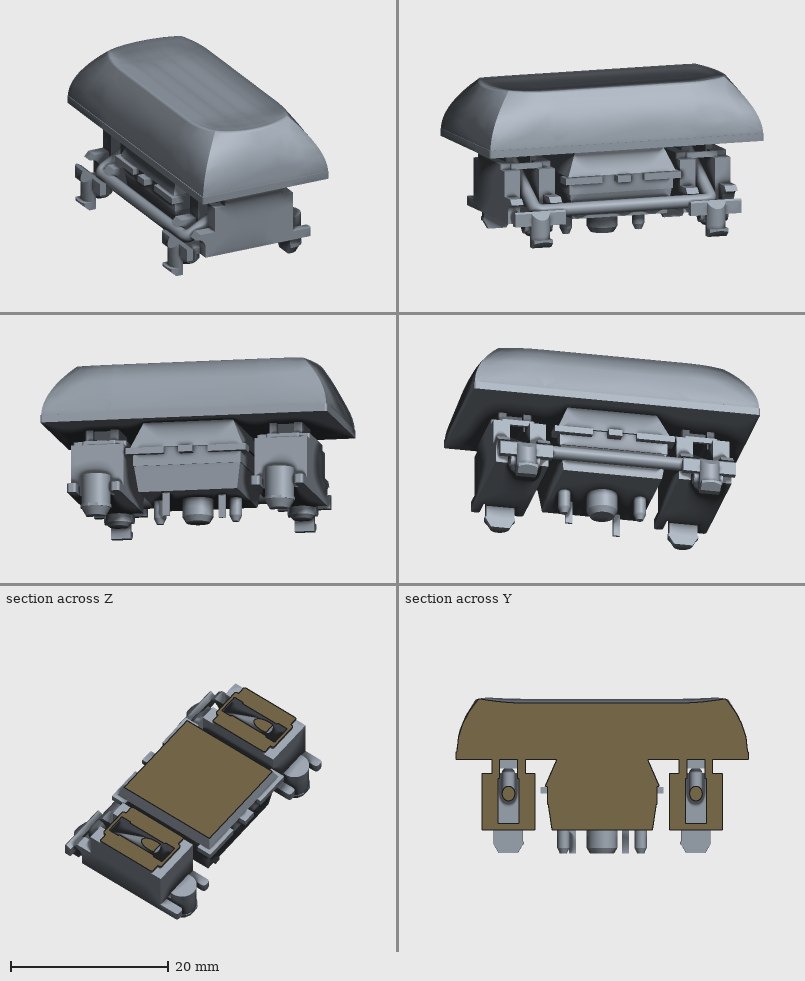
import cadquery as cq
import math

CAP_LENGTH = 37.2
CAP_WIDTH = 18.15
CAP_BOTTOM = 11.98
SKIRT_TOP = 12.95
SKIRT_CORNER_RADIUS = 0.3
CROWN_STEP = 0.1
CROWN_TOP = 19.85
CROWN_SECTIONS = 5
CROWN_OVERRUN = 0.37
CROWN_BULGE = 0.02
END_INSET = 2.68
SIDE_INSET = 2.7
WALL_CURVE = 2.0
CORNER_CURVE = 1.8
CORNER_INSET_X = 3.9
CORNER_INSET_Y = 3.8
STRAIGHT_HALF = 9.45
DISH_BOTTOM = 19.1
DISH_RADIUS = 32.75
DISH_END_RADIUS = 34.22
DISH_END_ANGLE = 15.0
DISH_HALF_WIDTH = 11.15
DISH_HEADROOM = 1.85
RIM_FILLET = 0.45
RIM_LOWEST = 19.45

BODY_BOTTOM = 2.98
BODY_SEAM = 6.25
BODY_TOP = 8.55
BODY_HALF = 7.0
LOWER_BODY_HALF_TOP = 6.9
LOWER_BODY_HALF_BOTTOM = 6.4
TOWER_HALF_BOTTOM = 7.3
TOWER_HALF_TOP = 5.8
TOWER_HALF_TOP_Y = 6.05
TAB_BOTTOM = 7.65
TAB_TOP = 8.5
TAB_REACH = 7.8
TAB_INNER_X = 2.85
TAB_INNER_Y = 5.75
CENTRE_TAB_WIDTH = 1.8
CENTRE_TAB_REACH = 8.2
GUIDE_RADIUS = 1.97
GUIDE_CHAMFER = 0.45
GUIDE_CHAMFER_HEIGHT = 0.75
SIDE_GUIDE_RADIUS = 0.78
SIDE_GUIDE_CHAMFER = 0.35
SIDE_GUIDE_X = 4.9
PIN_WIDTH = 0.9
PIN_THICKNESS = 0.35
PIN_PLACES = [(-3.72, 2.75), (3.0, 5.2)]

STAB_X = 11.9
STAB_HALF_WIDTH = 3.42
HOUSING_HALF_DEPTH = 5.58
HOUSING_BOTTOM = 2.98
HOUSING_TOP = 9.52
TIER_TOP = 10.23
TIER_HALF_DEPTH = 4.15
TIER_CORNER_RADIUS = 0.25
CROSSBAR_HALF_WIDTH = 2.15
CROSSBAR_HALF_DEPTH = 4.6
SLOT_HALF_WIDTH = 1.3
SLOT_BACK = 4.1
SLOT_FLOOR = 3.87
SLIDER_HALF_DEPTH = 2.8
SLIDER_GAP = 2.25
SLIDER_LEG_CHAMFER = 0.15
SLIDER_BEAM_HALF_DEPTH = 1.85
SLIDER_BEAM_BOTTOM = 10.83
REAR_FOOT_END = 8.25
REAR_FOOT_TOP = 4.13
REAR_POST_RADIUS = 1.85
REAR_POST_FLAT = 6.03
REAR_POST_TOP = 5.32
REAR_POST_BOTTOM = 0.1
REAR_POST_CHAMFER = 0.6
REAR_POST_CHAMFER_HEIGHT = 1.05
REAR_LIP_RADIUS = 1.97
REAR_LIP_BOTTOM = 1.15
REAR_LIP_HEIGHT = 0.37
REAR_TAB_WIDTH = 1.2
REAR_TAB_ROUND = 0.37

WIRE_DIAMETER = 1.67
WIRE_Y = -7.9
WIRE_Z = 4.58
WIRE_BEND_RADIUS = 1.0
WIRE_END_Y = 2.25
WIRE_END_Z = 10.23
CLIP_WIDTH = 1.6
CLIP_TOP = 6.25
CLIP_FRONT = -6.95
CLIP_TOP_FRONT = -7.65
CLIP_TIP_Y = -8.3
CLIP_TIP_Z = 5.58
CLIP_HOLLOW_MIDDLE = (-7.35, 5.32)

PLATE_BACK = -8.75
PLATE_FRONT = -9.65
PLATE_BACK_TOP = 4.45
PLATE_FRONT_TOP = 4.6
PLATE_RIDGE_Y = -9.4
PLATE_RIDGE_TOP = 4.85
WEB_HALF_WIDTH = 1.85
KEEL_BACK = -7.45
KEEL_WIDTH = 1.55
KEEL_BOTTOM = 1.9
PEG_RADIUS = 1.67
PEG_Y = -7.92
PEG_BOTTOM = 1.53
PEG_CHAMFER = 0.45
HOOK_HALF_WIDTH = 1.25
HOOK_POST_RADIUS = 1.4
HOOK_POST_FRONT = -10.4
HOOK_POST_FRONT_TOP = 3.8
HOOK_LIP_TOP = 1.3
HOOK_LIP_RADIUS = 3.27
HOOK_TIP = -10.95
HOOK_BACK = -9.05
HOOK_BOTTOM = 0.22
HOOK_BOTTOM_FRONT = -10.0
HOOK_TIP_BOTTOM = 1.05


def box(x0, x1, y0, y1, z0, z1):
    """Axis-aligned block between opposite corners."""
    size = (x1 - x0, y1 - y0, z1 - z0)
    return cq.Workplane("XY").box(*size, centered=False).translate((x0, y0, z0))


def cylinder(x, y, radius, z0, z1):
    return cq.Workplane("XY", origin=(x, y, z0)).circle(radius).extrude(z1 - z0)


def frustum(half_x0, half_y0, z0, half_x1, half_y1, z1):
    """Four-sided tapered block centred on the Z axis."""
    return (
        cq.Workplane("XY", origin=(0, 0, z0))
        .rect(2 * half_x0, 2 * half_y0)
        .workplane(offset=z1 - z0)
        .rect(2 * half_x1, 2 * half_y1)
        .loft(ruled=True)
    )


def side_profile(outline, x_center, half_width):
    """Extrude a closed (y, z) outline symmetrically along X."""
    return outline.close().extrude(half_width, both=True).translate((x_center, 0, 0))


def crown_section(z):
    """Outline of the crown at height z; the walls lean in along power curves."""
    rise = (z - SKIRT_TOP) / (CROWN_TOP - SKIRT_TOP)
    lean = rise**WALL_CURVE
    corner_lean = rise**CORNER_CURVE
    half_length = CAP_LENGTH / 2 - CROWN_STEP
    half_width = CAP_WIDTH / 2 - CROWN_STEP
    end = half_length + CROWN_BULGE - END_INSET * lean
    side = half_width + CROWN_BULGE - SIDE_INSET * lean
    corner_x = half_length - CORNER_INSET_X * corner_lean
    corner_y = half_width - CORNER_INSET_Y * corner_lean
    mid_x = (corner_x + STRAIGHT_HALF) / 2
    mid_y = side - (side - corner_y) / 4
    return (
        cq.Workplane("XY", origin=(0, 0, z))
        .moveTo(-STRAIGHT_HALF, -side)
        .lineTo(STRAIGHT_HALF, -side)
        .threePointArc((mid_x, -mid_y), (corner_x, -corner_y))
        .threePointArc((end, 0), (corner_x, corner_y))
        .threePointArc((mid_x, mid_y), (STRAIGHT_HALF, side))
        .lineTo(-STRAIGHT_HALF, side)
        .threePointArc((-mid_x, mid_y), (-corner_x, corner_y))
        .threePointArc((-end, 0), (-corner_x, -corner_y))
        .threePointArc((-mid_x, -mid_y), (-STRAIGHT_HALF, -side))
        .close()
        .val()
    )


def dish_profile(x):
    edge_z = DISH_BOTTOM + DISH_RADIUS - (DISH_RADIUS**2 - DISH_HALF_WIDTH**2) ** 0.5
    return (
        cq.Workplane("YZ", origin=(x, 0, 0))
        .moveTo(-DISH_HALF_WIDTH, edge_z)
        .threePointArc((0, DISH_BOTTOM), (DISH_HALF_WIDTH, edge_z))
        .lineTo(DISH_HALF_WIDTH, edge_z + DISH_HEADROOM)
        .lineTo(-DISH_HALF_WIDTH, edge_z + DISH_HEADROOM)
        .close()
    )


def dish():
    """Hollow of the cap top: straight in the middle, sweeping up at both ends."""
    axis_z = DISH_BOTTOM + DISH_END_RADIUS
    middle = dish_profile(-STRAIGHT_HALF).extrude(2 * STRAIGHT_HALF)
    end = dish_profile(STRAIGHT_HALF).revolve(DISH_END_ANGLE, (0, axis_z, 0), (-1, axis_z, 0))
    return middle.union(end).union(end.mirror("YZ"))


def keycap():
    step = (CROWN_TOP + CROWN_OVERRUN - SKIRT_TOP) / (CROWN_SECTIONS - 1)
    sections = [crown_section(SKIRT_TOP + i * step) for i in range(CROWN_SECTIONS)]
    crown = cq.Workplane(cq.Solid.makeLoft(sections)).cut(dish())
    crown = crown.edges().filter(lambda edge: edge.Center().z > RIM_LOWEST).fillet(RIM_FILLET)
    half_length = CAP_LENGTH / 2
    half_width = CAP_WIDTH / 2
    skirt = box(-half_length, half_length, -half_width, half_width, CAP_BOTTOM, SKIRT_TOP)
    return skirt.edges("|Z").fillet(SKIRT_CORNER_RADIUS).union(crown)


def switch():
    upper = box(-BODY_HALF, BODY_HALF, -BODY_HALF, BODY_HALF, BODY_SEAM, BODY_TOP)
    lower_top = LOWER_BODY_HALF_TOP
    lower_bottom = LOWER_BODY_HALF_BOTTOM
    lower = frustum(lower_bottom, lower_bottom, BODY_BOTTOM, lower_top, lower_top, BODY_SEAM)
    tower = frustum(
        TOWER_HALF_BOTTOM, TOWER_HALF_BOTTOM, BODY_TOP, TOWER_HALF_TOP, TOWER_HALF_TOP_Y, CAP_BOTTOM
    )
    body = upper.union(lower).union(tower)

    for sx in (-1, 1):
        for sy in (-1, 1):
            xs = sorted((sx * TAB_INNER_X, sx * TAB_REACH))
            ys = sorted((sy * TAB_INNER_Y, sy * TAB_REACH))
            body = body.union(box(*xs, *ys, TAB_BOTTOM, TAB_TOP))
    half_tab = CENTRE_TAB_WIDTH / 2
    reach = CENTRE_TAB_REACH
    body = body.union(box(-half_tab, half_tab, -reach, reach, TAB_BOTTOM, TAB_TOP))

    guide = cylinder(0, 0, GUIDE_RADIUS, 0, BODY_BOTTOM)
    body = body.union(guide.faces("<Z").chamfer(GUIDE_CHAMFER_HEIGHT, GUIDE_CHAMFER))
    for x in (-SIDE_GUIDE_X, SIDE_GUIDE_X):
        guide = cylinder(x, 0, SIDE_GUIDE_RADIUS, 0, BODY_BOTTOM)
        body = body.union(guide.faces("<Z").chamfer(GUIDE_CHAMFER_HEIGHT, SIDE_GUIDE_CHAMFER))

    half_pin = PIN_WIDTH / 2
    half_thick = PIN_THICKNESS / 2
    for x, y in PIN_PLACES:
        pin = box(x - half_pin, x + half_pin, y - half_thick, y + half_thick, 0, BODY_BOTTOM)
        body = body.union(pin)
    return body


def housing():
    w = STAB_HALF_WIDTH
    d = HOUSING_HALF_DEPTH
    shell = box(-w, w, -d, d, HOUSING_BOTTOM, HOUSING_TOP)
    tier = box(-w, w, -TIER_HALF_DEPTH, TIER_HALF_DEPTH, HOUSING_TOP, TIER_TOP)
    c = CROSSBAR_HALF_WIDTH
    crossbar = box(-c, c, -CROSSBAR_HALF_DEPTH, CROSSBAR_HALF_DEPTH, HOUSING_TOP, TIER_TOP)
    for layer in (tier, crossbar):
        shell = shell.union(layer.edges("|Z").fillet(TIER_CORNER_RADIUS))
    s = SLOT_HALF_WIDTH
    shell = shell.cut(box(-s, s, -d, SLOT_BACK, SLOT_FLOOR, HOUSING_TOP))
    return shell.cut(box(-s, s, -TIER_HALF_DEPTH, TIER_HALF_DEPTH, HOUSING_TOP, TIER_TOP))


def slider():
    c = CROSSBAR_HALF_WIDTH
    d = SLIDER_HALF_DEPTH
    g = SLIDER_GAP / 2
    b = SLIDER_BEAM_HALF_DEPTH
    block = box(-c, c, -d, d, HOUSING_TOP, CAP_BOTTOM).edges("|Z").chamfer(SLIDER_LEG_CHAMFER)
    legs = block.cut(box(-g, g, -d, d, HOUSING_TOP, CAP_BOTTOM))
    return legs.union(box(-g, g, -b, b, SLIDER_BEAM_BOTTOM, CAP_BOTTOM))


def rear_foot():
    w = STAB_HALF_WIDTH
    back = HOUSING_HALF_DEPTH
    half_post = REAR_POST_RADIUS
    foot = box(-half_post, half_post, back, REAR_POST_FLAT, HOUSING_BOTTOM, REAR_FOOT_TOP)
    inner = w - REAR_TAB_WIDTH
    for x0, x1 in ((-w, -inner), (inner, w)):
        tab = box(x0, x1, back, REAR_FOOT_END, HOUSING_BOTTOM, REAR_FOOT_TOP)
        foot = foot.union(tab.edges("|Z and >Y").fillet(REAR_TAB_ROUND))

    center_y = REAR_FOOT_END - REAR_POST_RADIUS
    post = cylinder(0, center_y, REAR_POST_RADIUS, REAR_POST_BOTTOM, REAR_POST_TOP)
    post = post.faces("<Z").chamfer(REAR_POST_CHAMFER_HEIGHT, REAR_POST_CHAMFER)
    lip_top = REAR_LIP_BOTTOM + REAR_LIP_HEIGHT
    post = post.union(cylinder(0, center_y, REAR_LIP_RADIUS, REAR_LIP_BOTTOM, lip_top))
    return foot.union(post.intersect(box(-w, w, REAR_POST_FLAT, REAR_FOOT_END, 0, REAR_POST_TOP)))


def wire_clip(x_center):
    """Finger that reaches over the wire, hollowed round below."""
    outline = (
        cq.Workplane("YZ")
        .moveTo(-HOUSING_HALF_DEPTH, HOUSING_BOTTOM)
        .lineTo(-HOUSING_HALF_DEPTH, CLIP_TOP)
        .lineTo(CLIP_TOP_FRONT, CLIP_TOP)
        .lineTo(CLIP_TIP_Y, CLIP_TIP_Z)
        .threePointArc(CLIP_HOLLOW_MIDDLE, (CLIP_FRONT, WIRE_Z))
        .lineTo(CLIP_FRONT, HOUSING_BOTTOM)
    )
    return side_profile(outline, x_center, CLIP_WIDTH / 2)


def front_plate():
    outline = (
        cq.Workplane("YZ")
        .moveTo(PLATE_BACK, HOUSING_BOTTOM)
        .lineTo(PLATE_BACK, PLATE_BACK_TOP)
        .lineTo(PLATE_RIDGE_Y, PLATE_RIDGE_TOP)
        .lineTo(PLATE_FRONT, PLATE_FRONT_TOP)
        .lineTo(PLATE_FRONT, HOUSING_BOTTOM)
    )
    plate = side_profile(outline, 0, STAB_HALF_WIDTH)
    w = WEB_HALF_WIDTH
    web = box(-w, w, PLATE_BACK, -HOUSING_HALF_DEPTH, HOUSING_BOTTOM, SLOT_FLOOR)
    keel_radius = KEEL_WIDTH / 2
    keel_front = KEEL_BACK - KEEL_WIDTH
    keel = (
        cq.Workplane("YZ")
        .moveTo(KEEL_BACK, SLOT_FLOOR)
        .lineTo(KEEL_BACK, KEEL_BOTTOM + keel_radius)
        .threePointArc((KEEL_BACK - keel_radius, KEEL_BOTTOM), (keel_front, KEEL_BOTTOM + keel_radius))
        .lineTo(keel_front, SLOT_FLOOR)
    )
    peg = cylinder(0, PEG_Y, PEG_RADIUS, PEG_BOTTOM, HOUSING_BOTTOM).faces("<Z").chamfer(PEG_CHAMFER)
    return plate.union(web).union(side_profile(keel, 0, w)).union(peg)


def snap_hook():
    post_outline = (
        cq.Workplane("YZ")
        .moveTo(HOOK_BACK, HOOK_BOTTOM)
        .lineTo(HOOK_BACK, PLATE_BACK_TOP)
        .lineTo(PLATE_FRONT, PLATE_FRONT_TOP)
        .lineTo(HOOK_POST_FRONT, HOOK_POST_FRONT_TOP)
        .lineTo(HOOK_POST_FRONT, HOOK_BOTTOM)
    )
    post = side_profile(post_outline, 0, HOOK_HALF_WIDTH)
    post_y = HOOK_POST_FRONT + HOOK_POST_RADIUS
    post = post.intersect(cylinder(0, post_y, HOOK_POST_RADIUS, HOOK_LIP_TOP, PLATE_RIDGE_TOP))
    lip_outline = (
        cq.Workplane("YZ")
        .moveTo(HOOK_BACK, HOOK_BOTTOM)
        .lineTo(HOOK_BACK, HOOK_LIP_TOP)
        .lineTo(HOOK_TIP, HOOK_LIP_TOP)
        .lineTo(HOOK_TIP, HOOK_TIP_BOTTOM)
        .lineTo(HOOK_BOTTOM_FRONT, HOOK_BOTTOM)
    )
    lip = side_profile(lip_outline, 0, HOOK_HALF_WIDTH)
    lip = lip.intersect(cylinder(0, HOOK_TIP + HOOK_LIP_RADIUS, HOOK_LIP_RADIUS, HOOK_BOTTOM, HOOK_LIP_TOP))
    return post.union(lip)


def stabiliser():
    clip_x = STAB_HALF_WIDTH - CLIP_WIDTH / 2
    parts = [slider(), rear_foot(), wire_clip(-clip_x), wire_clip(clip_x), front_plate(), snap_hook()]
    body = housing()
    for part in parts:
        body = body.union(part)
    return body


def wire():
    """Round wire: a bar along X whose bent ends rise as arms into the sliders."""
    rise = cq.Vector(0, WIRE_END_Y - WIRE_Y, WIRE_END_Z - WIRE_Z)
    arm = rise.normalized() * WIRE_BEND_RADIUS
    arc_share = 1 - math.sqrt(0.5)

    def corner_points(side):
        """Arm end, bend start, bend middle and bend end of one side."""
        elbow = cq.Vector(side * STAB_X, WIRE_Y, WIRE_Z)
        inward = cq.Vector(-side * WIRE_BEND_RADIUS, 0, 0)
        return elbow + rise, elbow + arm, elbow + (arm + inward) * arc_share, elbow + inward

    tip, start, middle, end = corner_points(-1)
    far_tip, far_start, far_middle, far_end = corner_points(1)
    path = cq.Wire.assembleEdges([
        cq.Edge.makeLine(tip, start),
        cq.Edge.makeThreePointArc(start, middle, end),
        cq.Edge.makeLine(end, far_end),
        cq.Edge.makeThreePointArc(far_end, far_middle, far_start),
        cq.Edge.makeLine(far_start, far_tip),
    ])
    tip_plane = cq.Plane(origin=tip, xDir=(1, 0, 0), normal=-rise)
    return cq.Workplane(tip_plane).circle(WIRE_DIAMETER / 2).sweep(cq.Workplane(path))


result = keycap().union(switch())
for stab_x in (-STAB_X, STAB_X):
    result = result.union(stabiliser().translate((stab_x, 0, 0)))
result = result.union(wire())